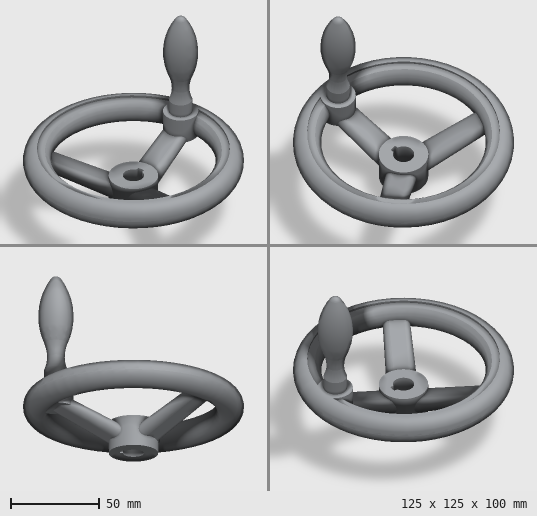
import cadquery as cq
import math

hub_diameter = 28.0
hub_height = 18.0
bore_diameter = 12.0
keyway_width = 4.0
keyway_reach = 7.8

wheel_diameter = 125.0
rim_thickness = 16.0
rim_bottom = 20.0
rim_flat_width = 4.5

rim_radius = rim_thickness / 2
rim_center = wheel_diameter / 2 - rim_radius
rim_middle = rim_bottom + rim_radius
rim_top = rim_bottom + rim_thickness
rim_flat_drop = rim_radius - math.sqrt(rim_radius**2 - rim_flat_width**2)

spoke_count = 3
spoke_flat_width = 8.8
spoke_hub_edge_radius = 4.5
spoke_rim_edge_radius = 3.2
spoke_start = 7.5
spoke_start_height = 8.6

handle_offset = 47.0
boss_diameter = 20.0
boss_height = 15.0
handle_top = 100.0
collar_radius = 6.6
collar_top = 44.0
neck_radius = 5.0
neck_height = 51.6
grip_base_radius = 6.5
grip_base_height = 59.9
grip_radius = 10.0
grip_height = 76.2
tip_radius = 3.1
tip_base_height = 98.2


def make_rim():
    ring = (
        cq.Workplane("XZ")
        .center(rim_center, rim_middle)
        .circle(rim_radius)
        .revolve(360, (-rim_center, 0, 0), (-rim_center, 1, 0))
    )
    recess = (
        cq.Workplane("XY", origin=(0, 0, rim_top - rim_flat_drop))
        .circle(rim_center)
        .extrude(rim_radius)
    )
    return ring.cut(recess)


def make_spoke():
    """Rounded flat bar along +Y, rising from the hub and narrowing to the rim's core."""
    run = rim_center - spoke_start
    rise = rim_middle - spoke_start_height
    start = cq.Plane(
        origin=(0, spoke_start, spoke_start_height),
        xDir=(1, 0, 0),
        normal=(0, run, rise),
    )
    hub_end = 2 * spoke_hub_edge_radius
    rim_end = 2 * spoke_rim_edge_radius
    return (
        cq.Workplane(start)
        .slot2D(spoke_flat_width + hub_end, hub_end)
        .workplane(offset=math.hypot(run, rise))
        .slot2D(spoke_flat_width + rim_end, rim_end)
        .loft(ruled=True)
    )


def make_handle():
    neck_length = neck_height - collar_top
    widening = collar_radius - neck_radius
    lower_neck_arc = (neck_length**2 + widening**2) / (2 * widening)
    tip_height = handle_top - tip_base_height
    tip_sphere_radius = (tip_radius**2 + tip_height**2) / (2 * tip_height)
    return (
        cq.Workplane("XZ", origin=(0, handle_offset, 0))
        .moveTo(0, rim_middle)
        .lineTo(collar_radius, rim_middle)
        .lineTo(collar_radius, collar_top)
        .radiusArc((neck_radius, neck_height), lower_neck_arc)
        .tangentArcPoint((grip_base_radius, grip_base_height), relative=False)
        .threePointArc((grip_radius, grip_height), (tip_radius, tip_base_height))
        .radiusArc((0, handle_top), -tip_sphere_radius)
        .close()
        .revolve(360, (0, 0, 0), (0, 1, 0))
    )


def make_boss():
    """Upright cylinder whose outer part stops at the circle along the middle of the rim."""
    base = cq.Workplane("XY", origin=(0, 0, rim_top - boss_height))
    cylinder = base.center(0, handle_offset).circle(boss_diameter / 2).extrude(boss_height)
    limit = base.circle(rim_center).extrude(boss_height)
    return cylinder.intersect(limit)


def make_bore():
    hole = cq.Workplane("XY").circle(bore_diameter / 2).extrude(rim_top)
    keyway = (
        cq.Workplane("XY")
        .center(0, keyway_reach / 2)
        .rect(keyway_width, keyway_reach)
        .extrude(rim_top)
    )
    return hole.union(keyway)


result = cq.Workplane("XY").circle(hub_diameter / 2).extrude(hub_height).union(make_rim())
for index in range(spoke_count):
    spoke = make_spoke().rotate((0, 0, 0), (0, 0, 1), index * 360 / spoke_count)
    result = result.union(spoke)
result = result.union(make_boss()).union(make_handle()).cut(make_bore())